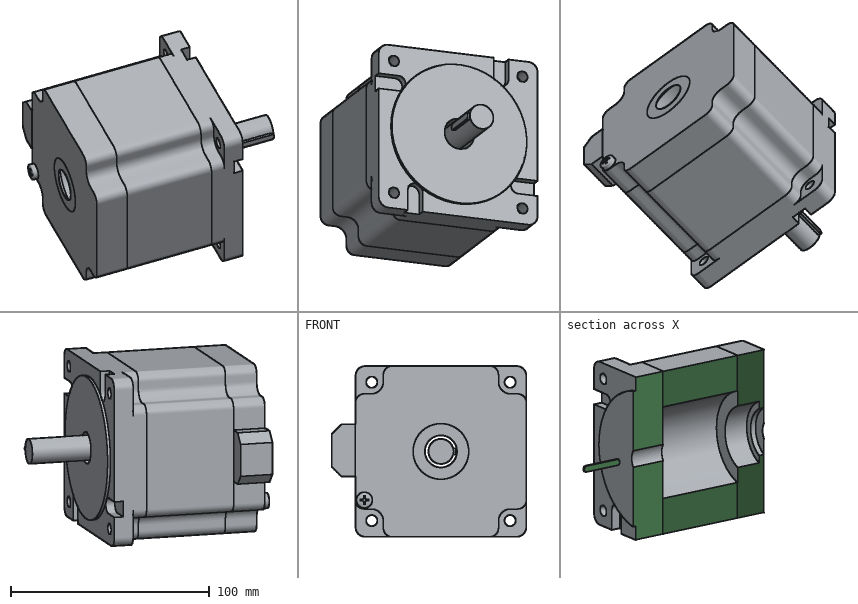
import cadquery as cq
import math


frame_width = 86.0
half_width = frame_width / 2
relief_wall = 28.97
relief_inner_radius = 6.0
relief_outer_radius = 4.5
relief_run_out = relief_wall - relief_outer_radius

pilot_height = 1.5
flange_thickness = 10.0
front_housing_length = 17.0
stator_length = 45.8
cover_length = 16.5
cover_front = -(front_housing_length + stator_length)
cover_rear = cover_front - cover_length

flange_corner_radius = 5.0
pilot_diameter = 73.03
mounting_hole_diameter = 5.5
mounting_hole_offset = 34.8
bore_diameter = 16.0

slot_width = 8.0
slot_depth = 4.75
slot_offset = 23.3
slot_circle_diameter = 80.0

stator_bore_diameter = 50.0
cover_seat_diameter = 35.0
cover_recess_diameter = 28.0
cover_recess_depth = 3.0
cover_web_thickness = 0.2

shaft_diameter = 12.7
shaft_length = 31.75
shaft_inner_end = front_housing_length
key_width = 3.4
key_length = 22.2
key_top = 7.5

connector_reach = 12.0
connector_height = 26.4
connector_center_z = 0.55
connector_chamfer = 5.0
connector_overhang = 0.3
connector_length = cover_length + connector_overhang

screw_x = -(half_width - relief_outer_radius)
screw_z = -relief_run_out
screw_head_diameter = 8.0
screw_head_height = 3.12
screw_rim_height = 2.25
screw_shank_diameter = 4.0
screw_shank_length = 8.0
recess_span = 4.4
recess_arm_width = 0.8
recess_core = 1.6
recess_depth = 1.5


def plane_at(y):
    """Plane square to the motor axis, with local x along X, local y along Z, extruding to -Y."""
    return cq.Workplane("XZ", origin=(0, y, 0))


def cylinder(diameter, start_y, length):
    return plane_at(start_y).circle(diameter / 2).extrude(length)


def relieved_block(start_y, length):
    """Square block whose four corners are cut back by rounded reliefs."""
    inset = half_width - relief_wall
    corner_center = half_width - inset / 2
    block = plane_at(start_y).rect(frame_width, frame_width).extrude(length)
    corners = (
        plane_at(start_y)
        .rect(2 * corner_center, 2 * corner_center, forConstruction=True)
        .vertices()
        .rect(inset, inset)
        .extrude(length)
    )
    block = block.cut(corners)
    signs = [(sx, sz) for sx in (-1, 1) for sz in (-1, 1)]
    concave = [(sx * relief_wall, sz * relief_wall) for sx, sz in signs]
    convex = [(sx * half_width, sz * relief_wall) for sx, sz in signs]
    convex += [(sx * relief_wall, sz * half_width) for sx, sz in signs]
    block = round_edges(block, concave, start_y, length, relief_inner_radius)
    return round_edges(block, convex, start_y, length, relief_outer_radius)


def round_edges(block, points, start_y, length, radius):
    """Fillet the axial edges of a block that pass through the given X, Z points."""
    middle = start_y - length / 2
    selected = []
    for x, z in points:
        selected += block.edges(cq.NearestToPointSelector((x, middle, z))).vals()
    return block.newObject(selected).fillet(radius)


def edge_slot():
    """Round-bottomed slot that opens upward through the top side of the flange."""
    slot_center_z = math.sqrt((slot_circle_diameter / 2) ** 2 - slot_offset**2)
    slot = plane_at(0).center(-slot_offset, slot_center_z).circle(slot_width / 2).extrude(slot_depth)
    channel_height = half_width - slot_center_z
    channel = (
        plane_at(0)
        .center(-slot_offset, slot_center_z + channel_height / 2)
        .rect(slot_width, channel_height)
        .extrude(slot_depth)
    )
    return slot.union(channel)


def make_front_housing():
    flange = plane_at(0).rect(frame_width, frame_width).extrude(flange_thickness)
    flange = flange.edges("|Y").fillet(flange_corner_radius)
    neck = relieved_block(-flange_thickness, front_housing_length - flange_thickness)
    housing = flange.union(neck).union(cylinder(pilot_diameter, pilot_height, pilot_height))
    hole_spacing = 2 * mounting_hole_offset
    holes = (
        plane_at(0)
        .rect(hole_spacing, hole_spacing, forConstruction=True)
        .vertices()
        .circle(mounting_hole_diameter / 2)
        .extrude(flange_thickness)
    )
    housing = housing.cut(holes)
    for angle in (0, 90, 180, 270):
        housing = housing.cut(edge_slot().rotate((0, 0, 0), (0, 1, 0), angle))
    return housing.cut(cylinder(bore_diameter, pilot_height, front_housing_length + pilot_height))


def make_stator():
    stator = relieved_block(-front_housing_length, stator_length)
    return stator.cut(cylinder(stator_bore_diameter, -front_housing_length, stator_length))


def make_rear_cover():
    cover = relieved_block(cover_front, cover_length)
    recess_end = cover_length - cover_web_thickness
    cover = cover.cut(cylinder(cover_seat_diameter, cover_front, recess_end - cover_recess_depth))
    cover = cover.cut(cylinder(cover_recess_diameter, cover_front, recess_end))
    cover = cover.cut(cylinder(bore_diameter, cover_front, cover_length))
    return cover.cut(screw_shank())


def make_shaft():
    shaft = cylinder(shaft_diameter, shaft_length, shaft_length + shaft_inner_end)
    key = (
        cq.Workplane("YZ")
        .center(shaft_length - key_length / 2, 0)
        .slot2D(key_length, key_width)
        .extrude(key_top)
    )
    return shaft.union(key)


def make_connector():
    connector = (
        plane_at(cover_front)
        .center(-half_width - connector_reach / 2, connector_center_z)
        .rect(connector_reach, connector_height)
        .extrude(connector_length)
    )
    return connector.edges("|Y and <X").chamfer(connector_chamfer)


def screw_shank():
    start_y = cover_rear + screw_shank_length
    return cylinder(screw_shank_diameter, start_y, screw_shank_length).translate((screw_x, 0, screw_z))


def make_screw():
    """Pan-head screw with a domed head and a cross recess."""
    rim = screw_head_diameter / 2
    dome_rise = screw_head_height - screw_rim_height
    head = (
        cq.Workplane("XY")
        .lineTo(rim, 0)
        .lineTo(rim, -screw_rim_height)
        .ellipseArc(rim, dome_rise, 270, 360, sense=-1)
        .close()
        .revolve(360, (0, 0, 0), (0, 1, 0))
    )
    recess_start = recess_depth - screw_head_height
    recess = plane_at(recess_start).rect(recess_span, recess_arm_width).extrude(recess_depth)
    recess = recess.union(plane_at(recess_start).rect(recess_arm_width, recess_span).extrude(recess_depth))
    core = plane_at(recess_start).rect(recess_core, recess_core).extrude(recess_depth)
    recess = recess.union(core.rotate((0, 0, 0), (0, 1, 0), 45))
    head = head.cut(recess).translate((screw_x, cover_rear, screw_z))
    return head.union(screw_shank())


front_housing = make_front_housing()
stator = make_stator()
rear_cover = make_rear_cover()
shaft = make_shaft()
connector = make_connector()
screw = make_screw()

result = cq.Compound.makeCompound([
    front_housing.val(),
    stator.val(),
    rear_cover.val(),
    shaft.val(),
    connector.val(),
    screw.val(),
])